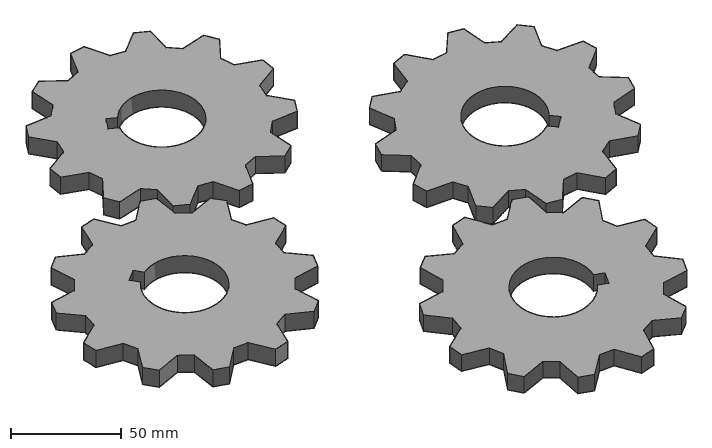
import cadquery as cq
import math

TOOTH_COUNT = 12
TIP_RADIUS = 61.5
ROOT_RADIUS = 50.0
TIP_WIDTH = 7.8
GAP_WIDTH = 7.5
THICKNESS = 10.0
BORE_RADIUS = 20.0

KEYWAY_WIDTH = 7.1
KEYWAY_REACH = 25.0

AXIS_OFFSET_X = 107.7
AXIS_OFFSET_Y = -45.0
FIRST_KEYWAY_ANGLE = -109.4
SECOND_KEYWAY_ANGLE = -132.2
PLACEMENTS = [
    (0, 0, FIRST_KEYWAY_ANGLE),
    (AXIS_OFFSET_X, AXIS_OFFSET_Y, SECOND_KEYWAY_ANGLE),
]


def polar_point(radius, angle):
    return (radius * math.cos(angle), radius * math.sin(angle))


def toothed_outline():
    """Corners of the straight-sided teeth, with the first tooth centred on +X."""
    pitch_angle = 2 * math.pi / TOOTH_COUNT
    half_tip_angle = math.asin(TIP_WIDTH / 2 / TIP_RADIUS)
    half_gap_angle = math.asin(GAP_WIDTH / 2 / ROOT_RADIUS)
    corners = []
    for tooth in range(TOOTH_COUNT):
        tooth_angle = tooth * pitch_angle
        gap_angle = tooth_angle + pitch_angle / 2
        corners.append(polar_point(TIP_RADIUS, tooth_angle - half_tip_angle))
        corners.append(polar_point(TIP_RADIUS, tooth_angle + half_tip_angle))
        corners.append(polar_point(ROOT_RADIUS, gap_angle - half_gap_angle))
        corners.append(polar_point(ROOT_RADIUS, gap_angle + half_gap_angle))
    return corners


def make_sprocket():
    """One flat sprocket with its keyway pointing along +X."""
    plate = cq.Workplane("XY").polyline(toothed_outline()).close().extrude(THICKNESS)
    bore = cq.Workplane("XY").circle(BORE_RADIUS).extrude(THICKNESS)
    keyway = (
        cq.Workplane("XY")
        .rect(KEYWAY_REACH, KEYWAY_WIDTH)
        .extrude(THICKNESS)
        .translate((KEYWAY_REACH / 2, 0, 0))
    )
    return plate.cut(bore).cut(keyway)


sprockets = []
for axis_x, axis_y, keyway_angle in PLACEMENTS:
    turned = make_sprocket().rotate((0, 0, 0), (0, 0, 1), keyway_angle)
    sprockets.append(turned.translate((axis_x, axis_y, 0)).val())

result = cq.Compound.makeCompound(sprockets)